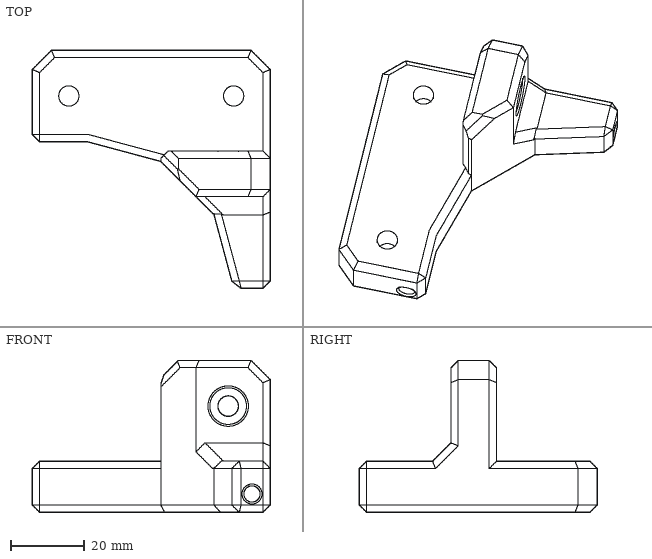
import cadquery as cq
import math

SIZE = 65.0
HEIGHT = 41.5
BASE_HEIGHT = 14.0
EDGE_CHAMFER = 2.0
CORNER_CHAMFER = 5.25
LEFT_CORNER_CHAMFER = 4.8

LEFT_ARM_FRONT = 40.0
LEFT_ARM_LENGTH = 15.15
FRONT_ARM_WIDTH = 10.0
TAPER = math.tan(math.radians(15))
FACE_LEFT_X = 35.1
FACE_LEFT_Y = LEFT_ARM_FRONT - (FACE_LEFT_X - LEFT_ARM_LENGTH) * TAPER
FACE_SUM = FACE_LEFT_X + FACE_LEFT_Y
FRONT_ARM_LEFT = SIZE - FRONT_ARM_WIDTH
FACE_RIGHT_Y = (FACE_SUM - FRONT_ARM_LEFT) / (1 - TAPER)
FACE_RIGHT_X = FACE_SUM - FACE_RIGHT_Y

WALL_FRONT = 25.0
WALL_BACK = 37.5
GUSSET_SIZE = 5.0
ROOT_Z = BASE_HEIGHT / 2

HOLE_DIAMETER = 5.5
HOLE_INSET = 10.0
HOLE_Y = 52.5
HOLE_DEPTH = 8.0
WALL_HOLE_X = 53.5
WALL_HOLE_Z = 29.0
COUNTERBORE_DIAMETER = 10.0
COUNTERBORE_DEPTH = 8.0
MOUTH_CHAMFER = 0.5

CHANNEL_DIAMETER = 4.4
CHANNEL_OFFSET = 5.0
CHANNEL_X = FRONT_ARM_LEFT + CHANNEL_OFFSET
CHANNEL_Y = LEFT_ARM_FRONT + CHANNEL_OFFSET
CHANNEL_BEND = CHANNEL_Y


def make_base():
    outline = [
        (0, LEFT_ARM_FRONT),
        (LEFT_ARM_LENGTH, LEFT_ARM_FRONT),
        (FACE_LEFT_X, FACE_LEFT_Y),
        (FACE_RIGHT_X, FACE_RIGHT_Y),
        (FRONT_ARM_LEFT, 0),
        (SIZE, 0),
        (SIZE, SIZE - CORNER_CHAMFER),
        (SIZE - CORNER_CHAMFER, SIZE),
        (CORNER_CHAMFER, SIZE),
        (0, SIZE - CORNER_CHAMFER),
    ]
    base = cq.Workplane("XY").polyline(outline).close().extrude(BASE_HEIGHT)
    rims = base.faces("<Z or >Z").edges()
    arm_tips = base.edges("|Z").edges(
        cq.selectors.BoxSelector((-0.65, LEFT_ARM_FRONT - 0.65, 0), (0.65, LEFT_ARM_FRONT + 0.65, BASE_HEIGHT))
    )
    front_tips = base.faces("<Y").edges("|Z")
    return rims.add(arm_tips).add(front_tips).chamfer(EDGE_CHAMFER)


def behind_face():
    """Everything behind the plane of the 45 degree face."""
    corners = [(FACE_SUM - SIZE, SIZE), (SIZE, FACE_SUM - SIZE), (SIZE, SIZE)]
    return cq.Workplane("XY").polyline(corners).close().extrude(HEIGHT)


def wall_blank(back_y, left_corner):
    """Plate from the wall's front to back_y; left_corner lists the points of its upper left corner."""
    outline = [
        (FACE_LEFT_X, ROOT_Z),
        (SIZE, ROOT_Z),
        (SIZE, HEIGHT - CORNER_CHAMFER),
        (SIZE - CORNER_CHAMFER, HEIGHT),
    ] + left_corner
    return (
        cq.Workplane("XZ", origin=(0, back_y, 0))
        .polyline(outline).close().extrude(back_y - WALL_FRONT)
    )


def make_wall():
    back = wall_blank(WALL_BACK, [(FACE_LEFT_X, HEIGHT)])
    back = back.faces(">Y").edges("not <Z").chamfer(EDGE_CHAMFER)

    cut_corner = [
        (FACE_LEFT_X + LEFT_CORNER_CHAMFER, HEIGHT),
        (FACE_LEFT_X, HEIGHT - LEFT_CORNER_CHAMFER),
    ]
    front = wall_blank(SIZE, cut_corner).intersect(behind_face())
    front_rim = front.faces("<Y").edges("not <Z").edges(">X or (not |Z)")
    face_rim = front.faces("<(1,1,0)").edges("not |Z").edges("not <Z")
    return back.intersect(front_rim.add(face_rim).chamfer(EDGE_CHAMFER))


def make_gusset():
    toe_y = WALL_FRONT - GUSSET_SIZE - (BASE_HEIGHT - ROOT_Z)
    buried_y = WALL_FRONT + EDGE_CHAMFER
    buried_z = ROOT_Z + buried_y - toe_y
    profile = [(toe_y, ROOT_Z), (buried_y, ROOT_Z), (buried_y, buried_z)]
    gusset = (
        cq.Workplane("YZ")
        .polyline(profile).close().extrude(SIZE)
        .intersect(behind_face())
    )
    slope_rim = gusset.faces("<(0,1,-1)").edges("not |X")
    return slope_rim.chamfer(EDGE_CHAMFER)


def mouth(plane, origin, diameter):
    """Countersink that widens a bore at its mouth; the plane's normal points out of the part."""
    return (
        cq.Workplane(plane, origin=origin)
        .circle(diameter / 2 + MOUTH_CHAMFER)
        .workplane(offset=-MOUTH_CHAMFER)
        .circle(diameter / 2)
        .loft(ruled=True)
    )


def make_wall_hole():
    center = (WALL_HOLE_X, WALL_FRONT, WALL_HOLE_Z)
    front = cq.Workplane("XZ", origin=center)
    through = front.circle(HOLE_DIAMETER / 2).extrude(WALL_FRONT - WALL_BACK)
    counterbore = front.circle(COUNTERBORE_DIAMETER / 2).extrude(-COUNTERBORE_DEPTH)
    return through.union(counterbore).union(mouth("XZ", center, COUNTERBORE_DIAMETER))


def make_channel():
    left_end = (0, CHANNEL_Y, CHANNEL_OFFSET)
    front_end = (CHANNEL_X, 0, CHANNEL_OFFSET)
    bend_start_x = CHANNEL_X - CHANNEL_BEND
    path = (
        cq.Workplane("XY", origin=(0, 0, CHANNEL_OFFSET))
        .moveTo(0, CHANNEL_Y)
        .lineTo(bend_start_x, CHANNEL_Y)
        .tangentArcPoint((CHANNEL_X, 0), relative=False)
    )
    channel = cq.Workplane("YZ", origin=left_end).circle(CHANNEL_DIAMETER / 2).sweep(path)
    left_mouth = mouth(cq.Plane(left_end, xDir=(0, 1, 0), normal=(-1, 0, 0)), left_end, CHANNEL_DIAMETER)
    return channel.union(left_mouth).union(mouth("XZ", front_end, CHANNEL_DIAMETER))


def make_base_holes():
    return (
        cq.Workplane("XY", origin=(0, 0, BASE_HEIGHT))
        .pushPoints([(HOLE_INSET, HOLE_Y), (SIZE - HOLE_INSET, HOLE_Y)])
        .circle(HOLE_DIAMETER / 2)
        .extrude(-HOLE_DEPTH)
    )


result = make_base().union(make_wall()).union(make_gusset())
for cutter in (make_wall_hole(), make_channel(), make_base_holes()):
    result = result.cut(cutter)